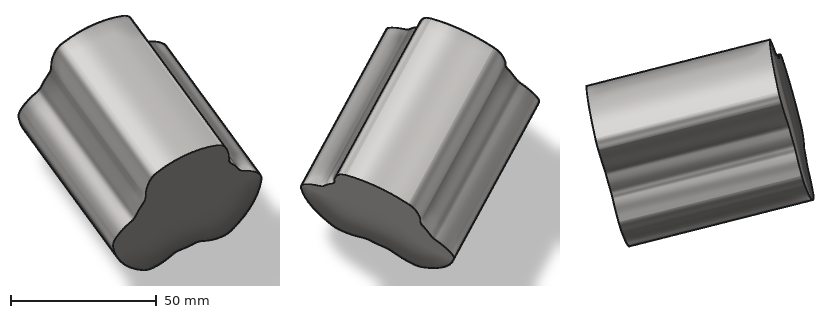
import cadquery as cq
import math

length = 65.0
outer_radius = 29.5
core_radius = 22.0
lobe_radius = 16.5
lobe_offset = 16.95
tip_fillet = 6.0
valley_fillet = 5.0
lobe_count = 3
first_lobe_angle = 90.0
match_tolerance = 0.005


def rod(radius, y=0.0, z=0.0):
    """Full-length cylinder along X."""
    return cq.Workplane("YZ").center(y, z).circle(radius).extrude(length)


def lobed_body():
    """Core and lobes joined, then trimmed by the outer circle."""
    body = rod(core_radius)
    for index in range(lobe_count):
        angle = math.radians(first_lobe_angle + index * 360.0 / lobe_count)
        lobe_y = lobe_offset * math.cos(angle)
        lobe_z = lobe_offset * math.sin(angle)
        body = body.union(rod(lobe_radius, lobe_y, lobe_z))
    return body.intersect(rod(outer_radius)).clean()


def fillet_corners(body, corner_radius, fillet_radius):
    """Round the lengthwise edges that lie at corner_radius from the knob axis."""
    corners = []
    for edge in body.edges("|X").vals():
        center = edge.Center()
        distance = math.hypot(center.y, center.z)
        if math.isclose(distance, corner_radius, abs_tol=match_tolerance):
            corners.append(edge)
    return body.newObject(corners).fillet(fillet_radius)


with_valleys = fillet_corners(lobed_body(), core_radius, valley_fillet)
result = fillet_corners(with_valleys, outer_radius, tip_fillet)